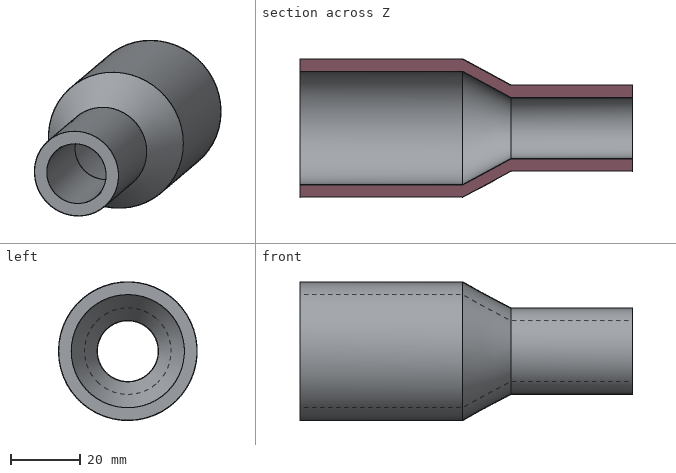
import cadquery as cq

total_length = 96.0
large_length = 46.9
cone_length = 13.9
large_outer_diameter = 40.0
large_bore_diameter = 32.6
small_outer_diameter = 25.0
small_bore_diameter = 17.6

cone_end = large_length + cone_length


def reducer_solid(large_diameter, small_diameter):
    """Solid of revolution: large cylinder, cone, small cylinder."""
    large_radius = large_diameter / 2
    small_radius = small_diameter / 2
    return (
        cq.Workplane("XY")
        .lineTo(0, large_radius)
        .lineTo(large_length, large_radius)
        .lineTo(cone_end, small_radius)
        .lineTo(total_length, small_radius)
        .lineTo(total_length, 0)
        .close()
        .revolve(360, (0, 0, 0), (1, 0, 0))
    )


body = reducer_solid(large_outer_diameter, small_outer_diameter)
bore = reducer_solid(large_bore_diameter, small_bore_diameter)

result = body.cut(bore)